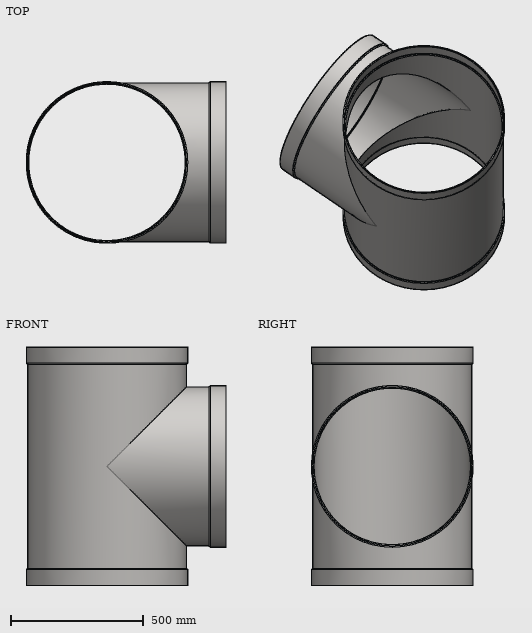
import cadquery as cq

run_length = 900.0
pipe_bore = 590.0
pipe_diameter = 600.0
socket_diameter = 610.0
socket_length = 60.0
flare_length = 5.0

half_run = run_length / 2
branch_reach = half_run


def flared_end(pipe_radius, socket_radius, length):
    """Profile points (radius, height), from where the flare starts to the socket rim."""
    socket_start = length - socket_length
    return [
        (pipe_radius, socket_start - flare_length),
        (socket_radius, socket_start),
        (socket_radius, length),
    ]


def revolved_solid(outline):
    """Solid of revolution about Z; the outline starts and ends on the axis."""
    return cq.Workplane("XZ").polyline(outline).close().revolve(360, (0, 0, 0), (0, 1, 0))


def tee_solid(pipe_radius, socket_radius):
    """Vertical run with two flared ends, joined to the +X branch with one."""
    upper_end = flared_end(pipe_radius, socket_radius, half_run)
    lower_end = [(radius, -height) for radius, height in reversed(upper_end)]
    run = revolved_solid([(0, -half_run)] + lower_end + upper_end + [(0, half_run)])

    branch_end = flared_end(pipe_radius, socket_radius, branch_reach)
    branch = revolved_solid([(0, 0), (pipe_radius, 0)] + branch_end + [(0, branch_reach)])
    return run.union(branch.rotate((0, 0, 0), (0, 1, 0), 90))


outside = tee_solid(pipe_diameter / 2, socket_diameter / 2)

inside = tee_solid(pipe_bore / 2, pipe_diameter / 2)

result = outside.cut(inside)